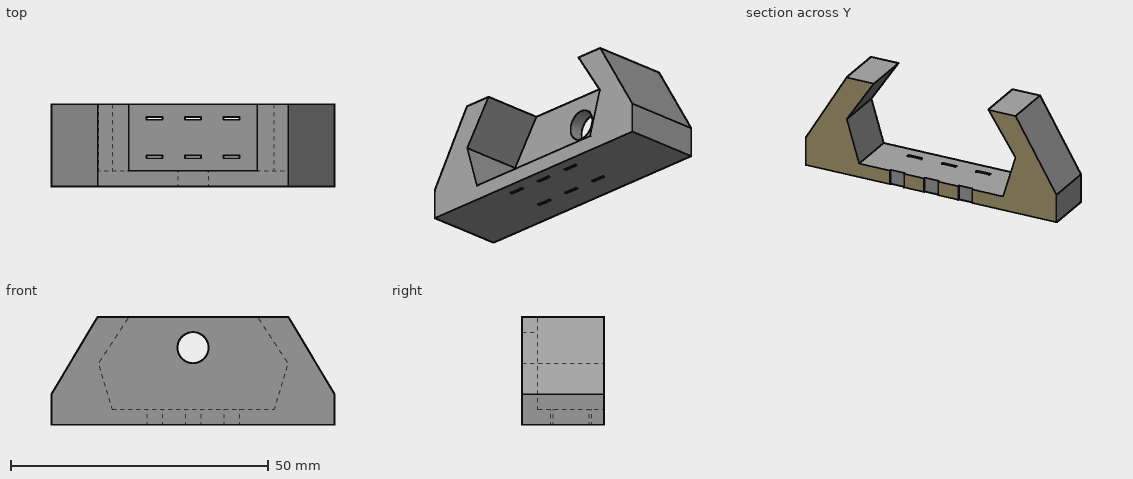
import cadquery as cq

length = 55.0
depth = 16.0
height = 21.0

side_height = 6.0
top_width = 37.05

plate_thickness = 3.0
floor_thickness = 3.0
opening_width = 24.95
cavity_width = 36.85
cavity_floor_width = 31.45
cavity_widest_height = 12.0

hole_diameter = 6.0
hole_height = 15.0

slot_length = 3.0
slot_width = 0.5
slot_pitch = 7.5
slot_columns = 3
slot_rows = 2

cavity_depth = depth - plate_thickness
cavity_center_y = plate_thickness + cavity_depth / 2


def symmetric_prism(levels, front, thickness):
    """Extrude a profile given as (width, height) levels from front towards +Y."""
    right_side = [(width / 2, z) for width, z in levels]
    left_side = [(-x, z) for x, z in reversed(right_side)]
    return (
        cq.Workplane("XZ", origin=(0, front, 0))
        .polyline(right_side + left_side)
        .close()
        .extrude(-thickness)
    )


body = symmetric_prism(
    [(length, 0), (length, side_height), (top_width, height)], 0, depth
)

cavity = symmetric_prism(
    [
        (cavity_floor_width, floor_thickness),
        (cavity_width, cavity_widest_height),
        (opening_width, height),
    ],
    plate_thickness,
    cavity_depth,
)

plate_hole = (
    cq.Workplane("XZ")
    .center(0, hole_height)
    .circle(hole_diameter / 2)
    .extrude(-plate_thickness)
)

floor_slots = (
    cq.Workplane("XY", origin=(0, cavity_center_y, 0))
    .rarray(slot_pitch, slot_pitch, slot_columns, slot_rows)
    .rect(slot_length, slot_width)
    .extrude(floor_thickness)
)

result = body.cut(cavity).cut(plate_hole).cut(floor_slots)